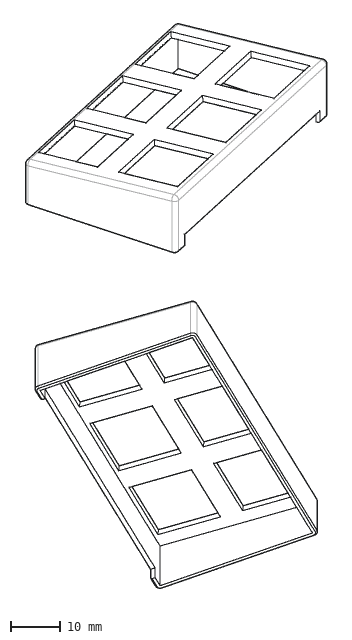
import cadquery as cq
import math

width = 36.1
length = 60.15
height = 13.7
slope = 5.0
edge_radius = 1.0
bottom_chamfer = 0.35

wall = 1.0
roof = 1.5

opening = 14.0
pitch = 19.0
columns = 2
rows = 3
grid_x = -0.5

notch_height = 3.0
notch_length = 53.3

slope_rad = math.radians(slope)
grade = math.tan(slope_rad)
arc_center_z = height - edge_radius
arc_center_x = width / 2 - edge_radius
roof_mid_z = arc_center_z + edge_radius / math.cos(slope_rad) - arc_center_x * grade


def sloped_block(size_x, size_y, mid_z):
    """Block standing on Z = 0 whose top slopes through mid_z above the origin."""
    half = size_x / 2
    profile = [
        (-half, 0),
        (half, 0),
        (half, mid_z + half * grade),
        (-half, mid_z - half * grade),
    ]
    return cq.Workplane("XZ").polyline(profile).close().extrude(size_y / 2, both=True)


def case_shell():
    outer = sloped_block(width, length, roof_mid_z)
    outer = outer.edges("not <Z").fillet(edge_radius)
    outer = outer.faces("<Z").chamfer(bottom_chamfer)
    cavity_mid_z = roof_mid_z - roof / math.cos(slope_rad)
    return outer.cut(sloped_block(width - 2 * wall, length - 2 * wall, cavity_mid_z))


def key_openings():
    top_plane = cq.Plane(
        origin=(grid_x, 0, roof_mid_z + grid_x * grade),
        xDir=(math.cos(slope_rad), 0, math.sin(slope_rad)),
        normal=(-math.sin(slope_rad), 0, math.cos(slope_rad)),
    )
    return (
        cq.Workplane(top_plane)
        .rarray(pitch, pitch, columns, rows)
        .rect(opening, opening)
        .extrude(roof, both=True)
    )


def wall_notch():
    block = cq.Workplane("XY").box(2 * wall, notch_length, notch_height, centered=(True, True, False))
    return block.translate(((width - wall) / 2, 0, 0))


result = case_shell().cut(key_openings()).cut(wall_notch())